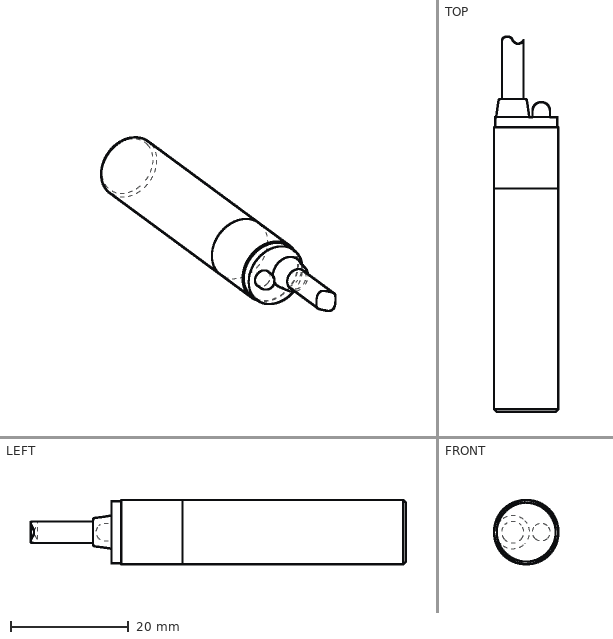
import cadquery as cq

total_length = 63.8
housing_length = 38.0
shoulder_y = 48.45
collar_end_y = 50.1
boot_end_y = 53.2

barrel_diameter = 11.0
front_face_diameter = 10.0
front_chamfer = (barrel_diameter - front_face_diameter) / 2
shoulder_face_diameter = 10.8
shoulder_chamfer = (barrel_diameter - shoulder_face_diameter) / 2
collar_diameter = 10.6

cable_x = -2.3
cable_diameter = 3.7
cable_radius = cable_diameter / 2
break_depth = 1.2
boot_base_diameter = 5.7
boot_tip_diameter = 4.8
boot_rounding = 0.45

lamp_x = 2.55
lamp_diameter = 3.0
lamp_radius = lamp_diameter / 2
lamp_straight_length = 1.1


def section_at(y, x=0):
    """Sketch plane across the Y axis, with its normal toward +Y."""
    return cq.Workplane(cq.Plane(origin=(x, y, 0), xDir=(1, 0, 0), normal=(0, 1, 0)))


def rod(diameter, y_start, y_end, x=0):
    return section_at(y_start, x).circle(diameter / 2).extrude(y_end - y_start)


def make_housing():
    barrel = rod(barrel_diameter, 0, housing_length)
    return barrel.faces("<Y").chamfer(front_chamfer)


def make_boot():
    boot_length = boot_end_y - collar_end_y
    boot = (
        section_at(collar_end_y, cable_x)
        .circle(boot_base_diameter / 2)
        .workplane(offset=boot_length)
        .circle(boot_tip_diameter / 2)
        .loft()
    )
    return boot.faces(">Y").edges().fillet(boot_rounding)


def make_cable():
    """Round cable whose broken end is an S-shaped wave, the same at every Z."""
    left_x = cable_x - cable_radius
    right_x = cable_x + cable_radius
    mid_y = total_length - break_depth / 2
    wave_block = (
        cq.Workplane("XY")
        .moveTo(left_x, collar_end_y)
        .lineTo(left_x, mid_y)
        .threePointArc((cable_x - cable_radius / 2, total_length), (cable_x, mid_y))
        .threePointArc((cable_x + cable_radius / 2, total_length - break_depth), (right_x, mid_y))
        .lineTo(right_x, collar_end_y)
        .close()
        .extrude(cable_radius, both=True)
    )
    return rod(cable_diameter, collar_end_y, total_length, cable_x).intersect(wave_block)


def make_lamp():
    dome_y = collar_end_y + lamp_straight_length
    dome = cq.Workplane("XY").sphere(lamp_radius).translate((lamp_x, dome_y, 0))
    return rod(lamp_diameter, collar_end_y, dome_y, lamp_x).union(dome)


def make_rear_cap():
    """Rear cap in one piece with its collar, cable boot, cable and lamp."""
    cap = rod(barrel_diameter, housing_length, shoulder_y).faces(">Y").chamfer(shoulder_chamfer)
    collar = rod(collar_diameter, shoulder_y, collar_end_y)
    return cap.union(collar).union(make_boot()).union(make_cable()).union(make_lamp())


housing = make_housing().solids()
rear_cap = make_rear_cap().solids()

result = cq.Compound.makeCompound([housing.val(), rear_cap.val()])